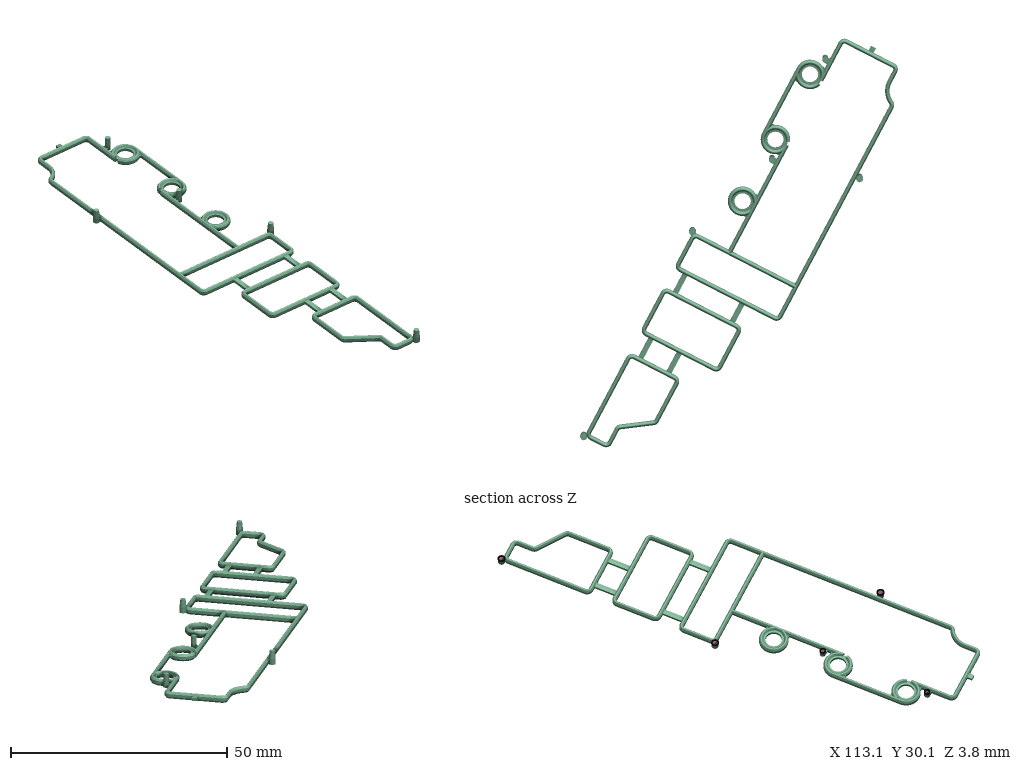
import cadquery as cq
import math

OVERALL_LENGTH = 113.1
OVERALL_WIDTH = 30.05
OVERALL_HEIGHT = 3.8

RAIL_WIDTH = 1.0
RAIL_HEIGHT = 1.7
WEB_BOTTOM = 0.5
WEB_TOP = RAIL_HEIGHT - WEB_BOTTOM
NOSE_WIDTH = 0.5
NOSE_HEIGHT = 0.15
WEB_THICKNESS = WEB_TOP - WEB_BOTTOM
CORNER_RADIUS = 1.0

MAIN_LEFT = -54.85
MAIN_BOTTOM = -12.95
MAIN_TOP = 4.4
DIVIDER_X = 1.75
MAIN_RIGHT = 10.55
FRAMES_TOP = 13.6
STEP_Y = -9.8
STEP_ARC_START_X = -51.1
STEP_ARC_RADIUS = 4.7

RING_XS = (-44.1, -26.8, -10.4)
RING_RADIUS = 2.9
RING_HOLE_RADIUS = 1.9
RING_MERGE_ANGLE = 20
RING_Y = MAIN_TOP + RING_RADIUS
BRIDGE_Y = RING_Y + RING_RADIUS

MIDDLE_LEFT = 16.35
MIDDLE_RIGHT = 27.6
MIDDLE_BOTTOM = -6.1
END_LEFT = 33.7
END_RIGHT = 55.2
END_BOTTOM = 1.0
END_STEP_Y = 8.2
END_SLOPE_BOTTOM_X = 45.1
END_SLOPE_TOP_X = 50.1

TIE_WIDTH = 1.2
UPPER_TIE_Y = 11.1
FIRST_LOWER_TIE_Y = -3.75
SECOND_LOWER_TIE_Y = 3.75
TAB_Y = -2.75

PEG_TIP_RADIUS = 0.6
PLAIN_PEG_RADIUS = 0.7
BOSS_RADIUS = 0.8
BOSS_TOP = 1.9
PEG_EDGE_Y = OVERALL_WIDTH / 2 - BOSS_RADIUS
BOSS_PEGS = (
    (1.35, PEG_EDGE_Y),
    (OVERALL_LENGTH / 2 - BOSS_RADIUS, PEG_EDGE_Y),
    (-27.65, -PEG_EDGE_Y),
)
PLAIN_PEG_XS = (-48.8, -22.2)
PLAIN_PEG_Y = 5.8


def rail_profile(plane):
    """Closed rail cross-section, centred on the plane's origin."""
    half_rail = RAIL_WIDTH / 2
    half_nose = NOSE_WIDTH / 2
    nose_start = RAIL_HEIGHT - NOSE_HEIGHT
    return (
        cq.Workplane(plane)
        .moveTo(-half_rail, WEB_BOTTOM)
        .lineTo(-half_nose, NOSE_HEIGHT)
        .threePointArc((0, 0), (half_nose, NOSE_HEIGHT))
        .lineTo(half_rail, WEB_BOTTOM)
        .lineTo(half_rail, WEB_TOP)
        .lineTo(half_nose, nose_start)
        .threePointArc((0, RAIL_HEIGHT), (-half_nose, nose_start))
        .lineTo(-half_rail, WEB_TOP)
        .close()
    )


def sweep_rail(path):
    """Rail following a planar wire."""
    start = path.startPoint()
    along = path.tangentAt(0)
    across = along.cross(cq.Vector(0, 0, 1))
    return rail_profile(cq.Plane(start, across, along * -1)).sweep(cq.Workplane(path))


def straight_rail(start, end):
    return sweep_rail(cq.Wire.makePolygon([cq.Vector(*start), cq.Vector(*end)]))


def rounded(wire):
    """The wire with every inner corner bent to the rail's corner radius."""
    ends = (wire.startPoint(), wire.endPoint())
    corners = [v for v in wire.Vertices() if all((v.Center() - e).Length > 1e-6 for e in ends)]
    return wire.fillet(CORNER_RADIUS, corners)


def closed_frame(corners):
    """Closed rail loop that starts and ends halfway along the first side."""
    points = [cq.Vector(*corner) for corner in corners]
    middle = (points[0] + points[1]) * 0.5
    path = cq.Wire.makePolygon([middle] + points[1:] + [points[0], middle])
    return sweep_rail(rounded(path))


def web_box(x_range, y_range):
    """Plain block as thick as the rail web."""
    (left, right), (low, high) = x_range, y_range
    block = cq.Workplane("XY").box(right - left, high - low, WEB_THICKNESS, centered=False)
    return block.translate((left, low, WEB_BOTTOM))


def arc_point(centre_x, centre_y, radius, angle):
    """Point on a circle, at an angle measured clockwise from straight up."""
    return (centre_x + radius * math.sin(angle), centre_y + radius * math.cos(angle))


def step_path():
    """S-shaped drop to the bottom rail: a large arc and a corner bend tangent to each other."""
    arc_centre = (STEP_ARC_START_X, STEP_Y - STEP_ARC_RADIUS)
    centre_distance = STEP_ARC_RADIUS + CORNER_RADIUS
    bend_centre_y = MAIN_BOTTOM + CORNER_RADIUS
    angle = math.acos((bend_centre_y - arc_centre[1]) / centre_distance)
    bend_centre = arc_point(*arc_centre, centre_distance, angle)
    return (
        cq.Workplane("XY")
        .moveTo(STEP_ARC_START_X, STEP_Y)
        .threePointArc(
            arc_point(*arc_centre, STEP_ARC_RADIUS, angle / 2),
            arc_point(*arc_centre, STEP_ARC_RADIUS, angle),
        )
        .threePointArc(
            arc_point(*bend_centre, CORNER_RADIUS, math.pi + angle / 2),
            arc_point(*bend_centre, CORNER_RADIUS, math.pi),
        )
        .wire()
        .val()
    )


def main_frame():
    """Rails of the main frame, its divider and the bridge between the first two rings."""
    left_end = (
        cq.Workplane("XY")
        .moveTo(RING_XS[0], MAIN_TOP)
        .lineTo(MAIN_LEFT, MAIN_TOP)
        .lineTo(MAIN_LEFT, STEP_Y)
        .lineTo(STEP_ARC_START_X, STEP_Y)
    )
    step = step_path()
    step_end = step.endPoint()
    right_end = (
        cq.Workplane("XY")
        .moveTo(step_end.x, step_end.y)
        .lineTo(MAIN_RIGHT, MAIN_BOTTOM)
        .lineTo(MAIN_RIGHT, FRAMES_TOP)
        .lineTo(DIVIDER_X, FRAMES_TOP)
        .lineTo(DIVIDER_X, MAIN_TOP)
    )
    bridge = straight_rail((RING_XS[0], BRIDGE_Y), (RING_XS[1], BRIDGE_Y))
    top_rail = straight_rail((RING_XS[1], MAIN_TOP), (DIVIDER_X, MAIN_TOP))
    divider = straight_rail((DIVIDER_X, MAIN_TOP), (DIVIDER_X, MAIN_BOTTOM))
    rails = bridge.union(top_rail).union(divider).union(sweep_rail(step))
    for outline in (left_end, right_end):
        rails = rails.union(sweep_rail(rounded(outline.wire().val())))
    return rails


def ring_rail(x, start_angle, end_angle):
    """Rail along an arc of a ring; angles in degrees, clockwise from the ring's top."""
    start, end = math.radians(start_angle), math.radians(end_angle)
    arc = (
        cq.Workplane("XY")
        .moveTo(*arc_point(x, RING_Y, RING_RADIUS, start))
        .threePointArc(
            arc_point(x, RING_Y, RING_RADIUS, (start + end) / 2),
            arc_point(x, RING_Y, RING_RADIUS, end),
        )
    )
    return sweep_rail(arc.wire().val())


def ring_flange(x):
    """Flat ring of web thickness, from the rail centreline in to the hole."""
    return (
        cq.Workplane("XY", origin=(x, RING_Y, WEB_BOTTOM))
        .circle(RING_RADIUS)
        .circle(RING_HOLE_RADIUS)
        .extrude(WEB_THICKNESS)
    )


def ring_gusset(x, side, rail_y):
    """Web filling the gap between a ring and a rail tangent to it, on one side of the ring."""
    outer_x = x + side * RING_RADIUS
    block = web_box(sorted((x, outer_x)), sorted((RING_Y, rail_y)))
    hole = cq.Workplane("XY", origin=(x, RING_Y, 0)).circle(RING_RADIUS).extrude(RAIL_HEIGHT)
    return block.cut(hole)


def middle_frame():
    return closed_frame(
        [
            (MIDDLE_LEFT, MIDDLE_BOTTOM),
            (MIDDLE_RIGHT, MIDDLE_BOTTOM),
            (MIDDLE_RIGHT, FRAMES_TOP),
            (MIDDLE_LEFT, FRAMES_TOP),
        ]
    )


def end_frame():
    return closed_frame(
        [
            (END_LEFT, END_BOTTOM),
            (END_SLOPE_BOTTOM_X, END_BOTTOM),
            (END_SLOPE_TOP_X, END_STEP_Y),
            (END_RIGHT, END_STEP_Y),
            (END_RIGHT, FRAMES_TOP),
            (END_LEFT, FRAMES_TOP),
        ]
    )


def tie_bar(left, right, y):
    """Bar of web thickness joining two upright rails, set into the webs halfway to their centrelines."""
    inset = RAIL_WIDTH / 4
    return web_box((left + inset, right - inset), (y - TIE_WIDTH / 2, y + TIE_WIDTH / 2))


def tapered_peg(x, y, foot_z, foot_radius):
    """Peg narrowing from its foot to the common tip radius at full height."""
    return (
        cq.Workplane("XY", origin=(x, y, foot_z))
        .circle(foot_radius)
        .workplane(offset=OVERALL_HEIGHT - foot_z)
        .circle(PEG_TIP_RADIUS)
        .loft()
    )


def boss_peg(x, y):
    """Peg on a round boss that stands beside a rail."""
    boss = cq.Workplane("XY", origin=(x, y, WEB_BOTTOM)).circle(BOSS_RADIUS).extrude(BOSS_TOP - WEB_BOTTOM)
    return boss.union(tapered_peg(x, y, BOSS_TOP, BOSS_RADIUS))


def plain_peg(x):
    """Peg joined to the main frame's top rail by a neck as wide as its foot."""
    neck = web_box((x - PLAIN_PEG_RADIUS, x + PLAIN_PEG_RADIUS), (MAIN_TOP, PLAIN_PEG_Y))
    return tapered_peg(x, PLAIN_PEG_Y, WEB_BOTTOM, PLAIN_PEG_RADIUS).union(neck)


first_ring_x, second_ring_x, third_ring_x = RING_XS

result = main_frame().union(middle_frame()).union(end_frame())

for ring_arc in (
    (first_ring_x, 180, 360),
    (first_ring_x, RING_MERGE_ANGLE, 180 - RING_MERGE_ANGLE),
    (second_ring_x, 0, 180),
    (second_ring_x, 180 + RING_MERGE_ANGLE, 360 - RING_MERGE_ANGLE),
    (third_ring_x, RING_MERGE_ANGLE - 180, 180 - RING_MERGE_ANGLE),
):
    result = result.union(ring_rail(*ring_arc))
for ring_x in RING_XS:
    result = result.union(ring_flange(ring_x))

for gusset in (
    (first_ring_x, -1, MAIN_TOP),
    (first_ring_x, 1, BRIDGE_Y),
    (second_ring_x, -1, BRIDGE_Y),
    (second_ring_x, 1, MAIN_TOP),
    (third_ring_x, -1, MAIN_TOP),
    (third_ring_x, 1, MAIN_TOP),
):
    result = result.union(ring_gusset(*gusset))

for tie in (
    (MAIN_RIGHT, MIDDLE_LEFT, UPPER_TIE_Y),
    (MAIN_RIGHT, MIDDLE_LEFT, FIRST_LOWER_TIE_Y),
    (MIDDLE_RIGHT, END_LEFT, UPPER_TIE_Y),
    (MIDDLE_RIGHT, END_LEFT, SECOND_LOWER_TIE_Y),
):
    result = result.union(tie_bar(*tie))

tab_right = MAIN_LEFT - RAIL_WIDTH / 4
tab = web_box((-OVERALL_LENGTH / 2, tab_right), (TAB_Y - TIE_WIDTH / 2, TAB_Y + TIE_WIDTH / 2))
result = result.union(tab)

for peg_x, peg_y in BOSS_PEGS:
    result = result.union(boss_peg(peg_x, peg_y))
for peg_x in PLAIN_PEG_XS:
    result = result.union(plain_peg(peg_x))